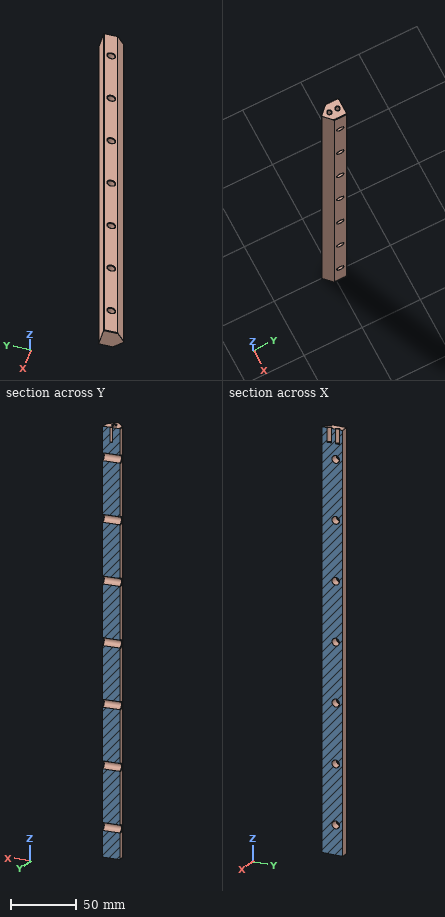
import cadquery as cq

width = 15.0
depth = 18.0
length = 350.0
tip_flat = 1.0
edge_chamfer = 0.5
half_width = width / 2
half_tip = tip_flat / 2
vee_depth = half_width - half_tip
back_y = depth / 2
tip_y = -depth / 2
vee_y = tip_y + vee_depth

mount_count = 7
mount_pitch = 50.0
mount_y = back_y - 6.0
mount_bore = 6.0
mount_mouth = 6.8

end_count = 2
end_pitch = 7.0
end_first_y = back_y - 4.5
end_bore = 3.3
end_mouth = 4.0
end_depth = 12.0

mouth_angle = 90.0


def make_bar():
    """Pointed bar with bevelled back edges and bevelled flank ends."""
    outline = [
        (-half_width, back_y),
        (half_width, back_y),
        (half_width, vee_y),
        (half_tip, tip_y),
        (-half_tip, tip_y),
        (-half_width, vee_y),
    ]
    bar = cq.Workplane("XY").polyline(outline).close().extrude(length)
    bar = bar.faces(">Y").edges("|Z").chamfer(edge_chamfer)
    return bar.faces("<X or >X").edges("|Y").chamfer(edge_chamfer)


def cut_mounting_holes(bar):
    """Row of through holes entering from the -X flank, centred along the bar."""
    flank = cq.Plane(origin=(-half_width, 0, 0), xDir=(0, -1, 0), normal=(-1, 0, 0))
    first_z = (length - (mount_count - 1) * mount_pitch) / 2
    spots = [(-mount_y, first_z + i * mount_pitch) for i in range(mount_count)]
    holes = bar.copyWorkplane(cq.Workplane(flank)).pushPoints(spots)
    return holes.cskHole(mount_bore, mount_mouth, mouth_angle)


def cut_end_holes(bar):
    """Bevelled blind holes in the top end, on the bar's centre plane."""
    top = cq.Workplane("XY", origin=(0, 0, length))
    spots = [(0, end_first_y - i * end_pitch) for i in range(end_count)]
    holes = bar.copyWorkplane(top).pushPoints(spots)
    return holes.cskHole(end_bore, end_mouth, mouth_angle, end_depth)


result = cut_end_holes(cut_mounting_holes(make_bar()))